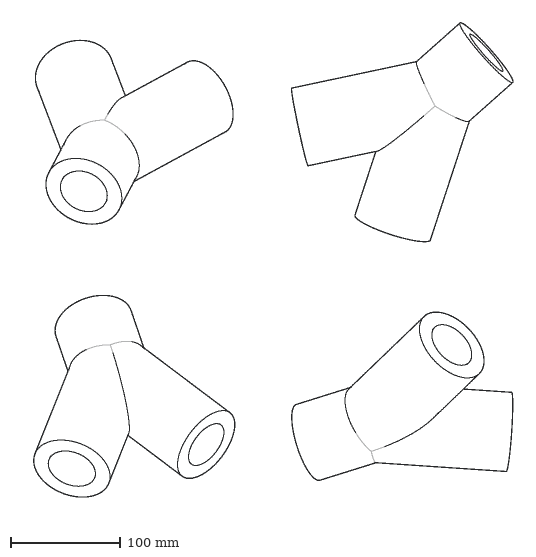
import cadquery as cq
import math

overall_length = 191.7
outer_diameter = 73.0
bore_diameter = 45.0
branch_length = 127.0
branch_angle = math.radians(30)

branch_rise = branch_length * math.cos(branch_angle) + outer_diameter / 2 * math.sin(branch_angle)
stem_length = overall_length - branch_rise

miter_slope = math.tan(branch_angle / 2)
region_reach = 2 * branch_length


def prism(points):
    """Prism over an XY outline, centred on Z and taller than the pipes."""
    return cq.Workplane("XY").polyline(points).close().extrude(outer_diameter, both=True)


def make_stem(diameter):
    """Stem cylinder whose far end is trimmed to a two-sided miter."""
    miter_edge = stem_length - outer_diameter * miter_slope
    cylinder = cq.Workplane("XZ").circle(diameter / 2).extrude(-stem_length)
    region = prism([
        (-outer_diameter, 0),
        (outer_diameter, 0),
        (outer_diameter, miter_edge),
        (0, stem_length),
        (-outer_diameter, miter_edge),
    ])
    return cylinder.intersect(region)


def make_branch(diameter):
    """Branch on the +X side, trimmed by the stem miter and the mid plane."""
    axis = cq.Vector(math.sin(branch_angle), math.cos(branch_angle), 0)
    start = cq.Vector(0, stem_length, 0) - axis * diameter
    cylinder = cq.Workplane(
        cq.Solid.makeCylinder(diameter / 2, branch_length + diameter, start, axis)
    )
    region = prism([
        (0, stem_length),
        (region_reach, stem_length - region_reach * miter_slope),
        (region_reach, region_reach),
        (0, region_reach),
    ])
    return cylinder.intersect(region)


def make_y_body(diameter):
    """Solid Y of one diameter: the stem and its two mirrored branches."""
    branch = make_branch(diameter)
    return make_stem(diameter).union(branch).union(branch.mirror("YZ"))


result = make_y_body(outer_diameter).cut(make_y_body(bore_diameter))